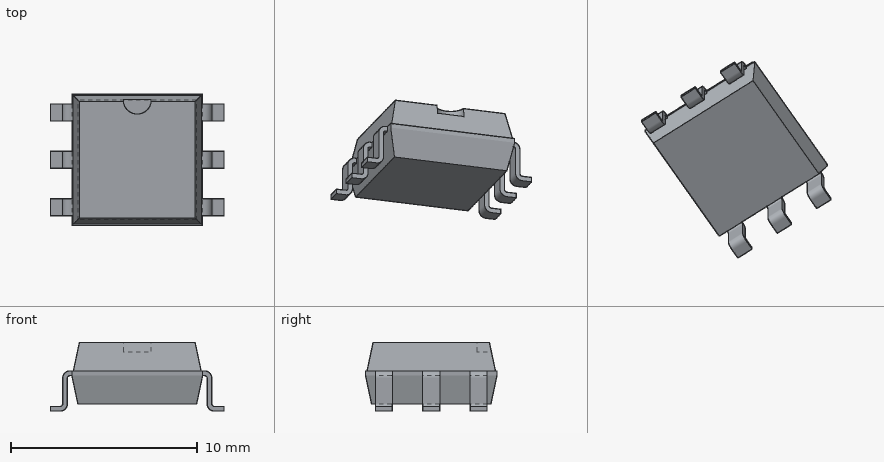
import cadquery as cq
import math

lead_span = 9.32
lead_thickness = 0.26
lead_width = 0.92
lead_pitch = 2.54
leads_per_side = 3
lead_shank_x = 4.0
bend_inner_radius = 0.13
bend_outer_radius = bend_inner_radius + lead_thickness
lead_embed = 0.3

overall_height = 3.68
standoff = 0.38
flange_length_x = 7.02
flange_length_y = 7.05
flange_thickness = lead_thickness
half_height = (overall_height - standoff - flange_thickness) / 2
draft_angle = 12.0
ledge_width = 0.08
flange_bottom = standoff + half_height
flange_top = flange_bottom + flange_thickness

notch_radius = 0.75
notch_depth = 0.5
notch_center_offset = 0.08
draft_inset = half_height * math.tan(math.radians(draft_angle))
top_face_half_y = flange_length_y / 2 - ledge_width - draft_inset
notch_center_y = top_face_half_y + notch_center_offset


def make_body():
    """Central flange with a drafted half above and below it."""
    flange = (
        cq.Workplane("XY")
        .workplane(offset=flange_bottom)
        .rect(flange_length_x, flange_length_y)
        .extrude(flange_thickness)
    )
    upper = (
        cq.Workplane("XY")
        .workplane(offset=flange_top)
        .rect(flange_length_x - 2 * ledge_width, flange_length_y - 2 * ledge_width)
        .extrude(half_height, taper=draft_angle)
    )
    lower = (
        cq.Workplane("XY")
        .workplane(offset=flange_bottom)
        .rect(flange_length_x, flange_length_y)
        .extrude(-half_height, taper=draft_angle)
    )
    return flange.union(upper).union(lower)


def make_notch():
    """Round flat-bottomed cutter that breaks out through the +Y edge of the top face."""
    return (
        cq.Workplane("XY")
        .workplane(offset=overall_height - notch_depth)
        .center(0, notch_center_y)
        .circle(notch_radius)
        .extrude(notch_depth)
    )


def make_lead():
    """Gull-wing lead on the +X side, centred on Y = 0, with its foot on Z = 0."""
    root_x = flange_length_x / 2 - lead_embed
    tip_x = lead_span / 2
    shank_inner_x = lead_shank_x - lead_thickness
    profile = (
        cq.Workplane("XZ")
        .moveTo(root_x, flange_top)
        .lineTo(lead_shank_x, flange_top)
        .lineTo(lead_shank_x, lead_thickness)
        .lineTo(tip_x, lead_thickness)
        .lineTo(tip_x, 0)
        .lineTo(shank_inner_x, 0)
        .lineTo(shank_inner_x, flange_bottom)
        .lineTo(root_x, flange_bottom)
        .close()
        .extrude(lead_width / 2, both=True)
    )

    def corner(x, z):
        return cq.selectors.NearestToPointSelector((x, 0, z))

    lead = profile.edges(corner(lead_shank_x, flange_top)).fillet(bend_outer_radius)
    lead = lead.edges(corner(shank_inner_x, 0)).fillet(bend_outer_radius)
    lead = lead.edges(corner(lead_shank_x, lead_thickness)).fillet(bend_inner_radius)
    return lead.edges(corner(shank_inner_x, flange_bottom)).fillet(bend_inner_radius)


result = make_body().cut(make_notch())
right_lead = make_lead()
left_lead = right_lead.mirror("YZ")
for index in range(leads_per_side):
    lead_y = (index - (leads_per_side - 1) / 2) * lead_pitch
    for lead in (right_lead, left_lead):
        result = result.union(lead.translate((0, lead_y, 0)))